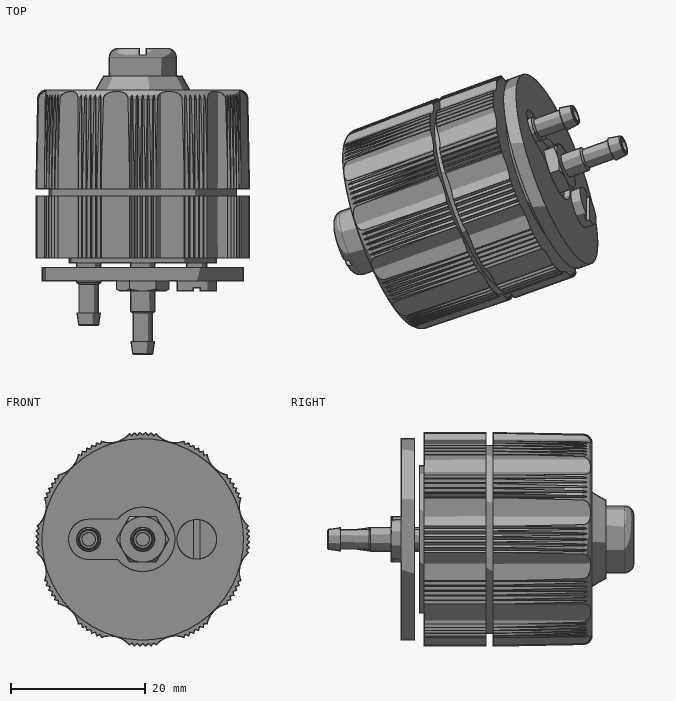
import cadquery as cq
import math


LOBE_COUNT = 12
NOTCHES_PER_LOBE = 5
KNOB_RADIUS = 15.92
KNOB_REAR_RADIUS = 15.67
KNOB_REAR_FILLET = 1.4
KNOB_LENGTH = 25.05
GROOVE_START = 9.25
GROOVE_WIDTH = 1.05
GROOVE_RADIUS = 28.0 / 2
NOTCH_PITCH = 3.0
NOTCH_ROOT_RADIUS = 15.52
SCALLOP_RADIUS = 3.8
SCALLOP_ROOT_RADIUS = 15.05

CONE_BASE_RADIUS = 14.0 / 2
CONE_TOP_RADIUS = 11.7 / 2
CONE_HEIGHT = 2.05
CAP_RADIUS = 10.0 / 2
CAP_HEIGHT = 4.15
CAP_FILLET = 1.4
CAP_SLOT_WIDTH = 1.0
CAP_SLOT_DEPTH = 1.0

FLANGE_RADIUS = 21.95 / 2
FLANGE_FRONT = -0.7
PLATE_RADIUS = 30.0 / 2
PLATE_BACK = -1.4
PLATE_THICKNESS = 2.0
PLATE_FRONT = PLATE_BACK - PLATE_THICKNESS
FASTENER_PROTRUSION = 1.5

RECESS_DEPTH = 1.0
RECESS_ROUND_RADIUS = 4.8
RECESS_ARM_RADIUS = 3.0
RECESS_FLOOR = PLATE_FRONT + RECESS_DEPTH

SIDE_OFFSET = 8.05
POST_RADIUS = 3.6 / 2
TUBE_RADIUS = 2.9 / 2
BARB_RADIUS = 3.5 / 2
TIP_RADIUS = 3.0 / 2
BORE_RADIUS = 2.0 / 2
POST_CHAMFER_LENGTH = 0.25
BARB_LENGTH = 1.9
TIP_CHAMFER = 0.15
NIPPLE_LENGTH = 6.4
SIDE_TIP = -10.05
CENTRE_TIP = -14.35

NUT_ACROSS_FLATS = 6.8
NUT_FRONT = PLATE_FRONT - FASTENER_PROTRUSION
NUT_THICKNESS = 1.9
NUT_BACK = NUT_FRONT + NUT_THICKNESS
NUT_CHAMFER_ANGLE = 30.0

SCREW_HEAD_RADIUS = 5.9 / 2
SCREW_HEAD_FRONT = PLATE_FRONT - FASTENER_PROTRUSION
SCREW_SHANK_RADIUS = 3.0 / 2
SCREW_SLOT_WIDTH = 1.0
SCREW_SLOT_DEPTH = 0.45

CUT_MARGIN = 1.0


def workplane_at(y):
    """XZ workplane at position y whose extrusions run toward +Y."""
    plane = cq.Plane(origin=(0, y, 0), xDir=(1, 0, 0), normal=(0, -1, 0))
    return cq.Workplane(plane)


def prism(sketch, length):
    """Extrude a sketch from workplane_at toward +Y."""
    return sketch.extrude(-length)


def rod(radius, y_start, y_end, x=0.0):
    """Cylinder parallel to Y between two Y positions."""
    return prism(workplane_at(y_start).center(x, 0).circle(radius), y_end - y_start)


def revolved(profile):
    """Turn an XY profile about the Y axis."""
    return profile.close().revolve(360, (0, 0, 0), (0, 1, 0))


def slot_cutter(width, length, y_start, y_end, x=0.0):
    """Block for a screwdriver slot running along Z."""
    return prism(workplane_at(y_start).center(x, 0).rect(width, length), y_end - y_start)


def knob_blank():
    groove_end = GROOVE_START + GROOVE_WIDTH
    fillet_mid = KNOB_REAR_FILLET * (1 - math.sqrt(0.5))
    profile = (
        cq.Workplane("XY")
        .lineTo(KNOB_RADIUS, 0)
        .lineTo(KNOB_RADIUS, GROOVE_START)
        .lineTo(GROOVE_RADIUS, GROOVE_START)
        .lineTo(GROOVE_RADIUS, groove_end)
        .lineTo(KNOB_RADIUS, groove_end)
        .lineTo(KNOB_REAR_RADIUS, KNOB_LENGTH - KNOB_REAR_FILLET)
        .threePointArc(
            (KNOB_REAR_RADIUS - fillet_mid, KNOB_LENGTH - fillet_mid),
            (KNOB_REAR_RADIUS - KNOB_REAR_FILLET, KNOB_LENGTH),
        )
        .lineTo(0, KNOB_LENGTH)
    )
    return revolved(profile)


def grip_cutters():
    """V notches on every lobe and a round scallop between neighbouring lobes."""
    start = -CUT_MARGIN
    length = KNOB_LENGTH + 2 * CUT_MARGIN
    notch_outer = KNOB_RADIUS + CUT_MARGIN
    notch_half_width = notch_outer - NOTCH_ROOT_RADIUS
    notch_corners = [
        (NOTCH_ROOT_RADIUS, 0),
        (notch_outer, notch_half_width),
        (notch_outer, -notch_half_width),
    ]
    notch = prism(workplane_at(start).polyline(notch_corners).close(), length)
    scallop = rod(SCALLOP_RADIUS, start, start + length, SCALLOP_ROOT_RADIUS + SCALLOP_RADIUS)

    lobe_pitch = 360.0 / LOBE_COUNT
    cutters = []
    for lobe in range(LOBE_COUNT):
        lobe_angle = lobe * lobe_pitch
        scallop_angle = lobe_angle + lobe_pitch / 2
        cutters.append(scallop.rotate((0, 0, 0), (0, 1, 0), scallop_angle).val())
        for index in range(NOTCHES_PER_LOBE):
            notch_angle = lobe_angle + (index - (NOTCHES_PER_LOBE - 1) / 2) * NOTCH_PITCH
            cutters.append(notch.rotate((0, 0, 0), (0, 1, 0), notch_angle).val())
    return cutters


def make_knob():
    blank = knob_blank()
    return cq.Workplane(blank.val().cut(*grip_cutters()))


def make_cap():
    cone_top = KNOB_LENGTH + CONE_HEIGHT
    cap_top = cone_top + CAP_HEIGHT
    cone = revolved(
        cq.Workplane("XY")
        .moveTo(0, KNOB_LENGTH)
        .lineTo(CONE_BASE_RADIUS, KNOB_LENGTH)
        .lineTo(CONE_TOP_RADIUS, cone_top)
        .lineTo(0, cone_top)
    )
    cap = rod(CAP_RADIUS, cone_top, cap_top).faces(">Y").edges().fillet(CAP_FILLET)
    slot = slot_cutter(CAP_SLOT_WIDTH, 2 * CAP_RADIUS, cap_top - CAP_SLOT_DEPTH, cap_top)
    return cone.union(cap.cut(slot))


def make_plate():
    plate = rod(PLATE_RADIUS, PLATE_FRONT, PLATE_BACK)
    recess = rod(RECESS_ROUND_RADIUS, PLATE_FRONT, RECESS_FLOOR)
    arm_end = rod(RECESS_ARM_RADIUS, PLATE_FRONT, RECESS_FLOOR, -SIDE_OFFSET)
    arm = prism(
        workplane_at(PLATE_FRONT).center(-SIDE_OFFSET / 2, 0).rect(SIDE_OFFSET, 2 * RECESS_ARM_RADIUS),
        RECESS_DEPTH,
    )
    return plate.cut(recess.union(arm_end).union(arm))


def make_nipple(x, tip):
    """Barbed hose nipple on a post that reaches back to the knob."""
    post_end = tip + NIPPLE_LENGTH
    tube_start = post_end - POST_CHAMFER_LENGTH
    barb_start = tip + BARB_LENGTH
    nipple = revolved(
        cq.Workplane("XY")
        .lineTo(POST_RADIUS, 0)
        .lineTo(POST_RADIUS, post_end)
        .lineTo(TUBE_RADIUS, tube_start)
        .lineTo(TUBE_RADIUS, barb_start)
        .lineTo(BARB_RADIUS, barb_start)
        .lineTo(TIP_RADIUS, tip + TIP_CHAMFER)
        .lineTo(TIP_RADIUS - TIP_CHAMFER, tip)
        .lineTo(0, tip)
    )
    return nipple.translate((x, 0, 0))


def make_nut():
    corner_radius = NUT_ACROSS_FLATS / math.sqrt(3)
    flat_radius = NUT_ACROSS_FLATS / 2
    hexagon = prism(
        workplane_at(NUT_FRONT).polygon(6, 2 * corner_radius),
        NUT_THICKNESS,
    )
    chamfer_height = (corner_radius - flat_radius) * math.tan(math.radians(NUT_CHAMFER_ANGLE))
    envelope = revolved(
        cq.Workplane("XY")
        .moveTo(0, NUT_FRONT)
        .lineTo(flat_radius, NUT_FRONT)
        .lineTo(corner_radius, NUT_FRONT + chamfer_height)
        .lineTo(corner_radius, NUT_BACK)
        .lineTo(0, NUT_BACK)
    )
    return hexagon.intersect(envelope)


def make_screw():
    head = rod(SCREW_HEAD_RADIUS, SCREW_HEAD_FRONT, PLATE_FRONT, SIDE_OFFSET)
    shank = rod(SCREW_SHANK_RADIUS, PLATE_FRONT, 0, SIDE_OFFSET)
    slot = slot_cutter(
        SCREW_SLOT_WIDTH,
        2 * SCREW_HEAD_RADIUS,
        SCREW_HEAD_FRONT,
        SCREW_HEAD_FRONT + SCREW_SLOT_DEPTH,
        SIDE_OFFSET,
    )
    return head.union(shank).cut(slot)


result = make_knob().union(make_cap())
result = result.union(rod(FLANGE_RADIUS, FLANGE_FRONT, 0))
result = result.union(make_plate()).union(make_nut()).union(make_screw())
for nipple_x, nipple_tip in ((0.0, CENTRE_TIP), (-SIDE_OFFSET, SIDE_TIP)):
    result = result.union(make_nipple(nipple_x, nipple_tip))
    result = result.cut(rod(BORE_RADIUS, nipple_tip, FLANGE_FRONT, nipple_x))